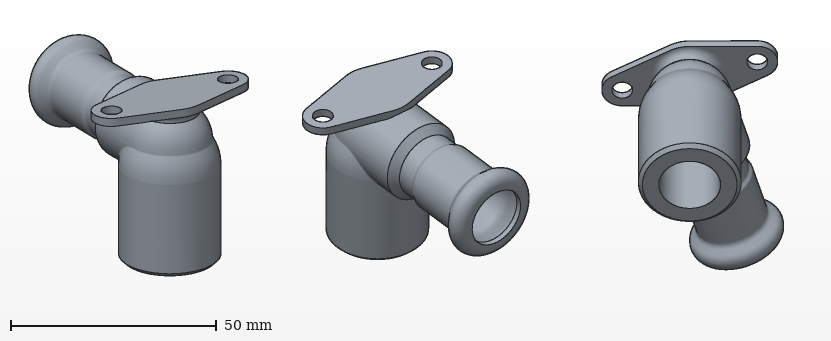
import cadquery as cq
import math


leg_radius = 25.0 / 2
leg_bottom = -30.95
leg_dome_center = -6.5
leg_chamfer = 1.0
leg_bore_radius = 7.5
leg_bore_top = 0.25
leg_bore_fillet = 0.4

socket_end = leg_radius - 58.5
tube_radius = 21.0 / 2
neck_radius = 16.8 / 2
sleeve_radius = 18.0 / 2
tube_shoulder = -16.85
sleeve_shoulder = -25.35
step_angle = math.radians(30)
step_fillet = 1.05
bead_radius = 3.0
bead_outer_radius = 11.75
bead_root_fillet = 2.0
wall = 1.45
tube_bore_radius = 5.9

plate_top = 12.05
plate_thickness = 2.1
plate_center_radius = 9.4
plate_end_radius = 5.0
plate_length = 43.95
plate_hole_radius = 2.5
pedestal_radius = 7.25
pedestal_fillet = 1.95

joint_fillet = 0.6

bead_x = socket_end + bead_radius
bead_r = bead_outer_radius - bead_radius
sin45 = math.sin(math.radians(45))


def bead_point(radius, angle):
    """Point on a circle about the bead centre; zero degrees points along +X."""
    turn = math.radians(angle)
    return bead_x + radius * math.cos(turn), bead_r + radius * math.sin(turn)


root_center_r = sleeve_radius + bead_root_fillet
root_center_x = bead_x + (bead_radius + bead_root_fillet) / sin45 - (root_center_r - bead_r)


def root_point(radius, angle):
    """Point on a circle about the bead root centre; zero degrees points at the axis."""
    turn = math.radians(angle)
    return root_center_x - radius * math.sin(turn), root_center_r - radius * math.cos(turn)


def revolve_about_x(profile):
    return profile.close().revolve(360, (0, 0, 0), (1, 0, 0))


def make_tube():
    cone_start = bead_point(bead_radius, 45)
    arc_run = step_fillet * math.sin(step_angle)
    arc_drop = step_fillet * (1 - math.cos(step_angle))
    mid_run = step_fillet * math.sin(step_angle / 2)
    mid_drop = step_fillet * (1 - math.cos(step_angle / 2))
    cone_drop = sleeve_radius - neck_radius - 2 * arc_drop
    step_end = sleeve_shoulder + 2 * arc_run + cone_drop / math.tan(step_angle)

    profile = (
        cq.Workplane("XZ")
        .moveTo(socket_end, 0)
        .lineTo(socket_end, bead_r)
        .threePointArc(bead_point(bead_radius, 112.5), cone_start)
        .lineTo(*root_point(bead_root_fillet, 45))
        .threePointArc(root_point(bead_root_fillet, 22.5), root_point(bead_root_fillet, 0))
        .lineTo(sleeve_shoulder, sleeve_radius)
        .threePointArc(
            (sleeve_shoulder + mid_run, sleeve_radius - mid_drop),
            (sleeve_shoulder + arc_run, sleeve_radius - arc_drop),
        )
        .lineTo(step_end - arc_run, neck_radius + arc_drop)
        .threePointArc((step_end - mid_run, neck_radius + mid_drop), (step_end, neck_radius))
        .lineTo(tube_shoulder - (tube_radius - neck_radius), neck_radius)
        .lineTo(tube_shoulder, tube_radius)
        .lineTo(0, tube_radius)
        .lineTo(0, 0)
    )
    return revolve_about_x(profile).union(cq.Workplane("XY").sphere(tube_radius))


def make_leg():
    leg = (
        cq.Workplane("XY", origin=(0, 0, leg_bottom))
        .circle(leg_radius)
        .extrude(leg_dome_center - leg_bottom)
        .faces("<Z")
        .chamfer(leg_chamfer)
    )
    dome = cq.Workplane("XY", origin=(0, 0, leg_dome_center)).sphere(leg_radius)
    return leg.union(dome)


def make_pedestal():
    """Round post that flares out under the plate."""
    plate_bottom = plate_top - plate_thickness
    flare_start = plate_bottom - pedestal_fillet
    profile = (
        cq.Workplane("XZ")
        .lineTo(pedestal_radius, 0)
        .lineTo(pedestal_radius, flare_start)
        .threePointArc(
            (pedestal_radius + pedestal_fillet * (1 - sin45), flare_start + pedestal_fillet * sin45),
            (pedestal_radius + pedestal_fillet, plate_bottom),
        )
        .lineTo(0, plate_bottom)
        .close()
    )
    return profile.revolve(360, (0, 0, 0), (0, 1, 0))


def make_plate():
    """Diamond plate: a central arc and two end arcs joined by tangent lines."""
    hole_y = plate_length / 2 - plate_end_radius
    tangent = math.asin((plate_center_radius - plate_end_radius) / hole_y)
    cos_t = math.cos(tangent)
    sin_t = math.sin(tangent)
    side_x = plate_center_radius * cos_t
    side_y = plate_center_radius * sin_t
    end_x = plate_end_radius * cos_t
    end_y = hole_y + plate_end_radius * sin_t
    return (
        cq.Workplane("XY", origin=(0, 0, plate_top - plate_thickness))
        .moveTo(side_x, -side_y)
        .threePointArc((plate_center_radius, 0), (side_x, side_y))
        .lineTo(end_x, end_y)
        .threePointArc((0, plate_length / 2), (-end_x, end_y))
        .lineTo(-side_x, side_y)
        .threePointArc((-plate_center_radius, 0), (-side_x, -side_y))
        .lineTo(-end_x, -end_y)
        .threePointArc((0, -plate_length / 2), (end_x, -end_y))
        .close()
        .pushPoints([(0, hole_y), (0, -hole_y)])
        .circle(plate_hole_radius)
        .extrude(plate_thickness)
    )


def make_tube_bore():
    """Socket with a seal groove, a stop shoulder and a round-ended bore."""
    socket_radius = sleeve_radius - wall
    groove_radius = bead_radius - wall
    root_radius = bead_root_fillet + wall
    groove_start = bead_point(groove_radius, 180)
    cone_start = bead_point(groove_radius, 45)
    profile = (
        cq.Workplane("XZ")
        .moveTo(socket_end, 0)
        .lineTo(socket_end, socket_radius)
        .lineTo(groove_start[0], socket_radius)
        .lineTo(*groove_start)
        .threePointArc(bead_point(groove_radius, 112.5), cone_start)
        .lineTo(*root_point(root_radius, 45))
        .threePointArc(root_point(root_radius, 22.5), root_point(root_radius, 0))
        .lineTo(sleeve_shoulder, socket_radius)
        .lineTo(sleeve_shoulder, tube_bore_radius)
        .lineTo(0, tube_bore_radius)
        .lineTo(0, 0)
    )
    return revolve_about_x(profile).union(cq.Workplane("XY").sphere(tube_bore_radius))


def make_leg_bore():
    return (
        cq.Workplane("XY", origin=(0, 0, leg_bottom))
        .circle(leg_bore_radius)
        .extrude(leg_bore_top - leg_bottom)
        .faces(">Z")
        .edges()
        .fillet(leg_bore_fillet)
    )


def is_seam(edge):
    """The seam is the tube-leg curve plus the circle where the two spheres meet."""
    if edge.geomType() == "BSPLINE":
        return True
    center = edge.Center()
    return edge.geomType() == "CIRCLE" and center.x > 0 and 0 < center.z < joint_fillet


elbow = make_tube().union(make_leg())
seam = [edge for edge in elbow.edges().vals() if is_seam(edge)]
elbow = elbow.newObject(seam).fillet(joint_fillet)

body = elbow.union(make_pedestal()).union(make_plate())
result = body.cut(make_tube_bore()).cut(make_leg_bore())